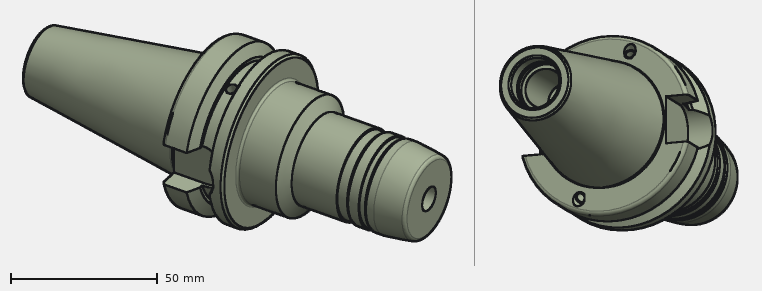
import cadquery as cq
import math

LENGTH = 155.4
TAPER_END = 65.1
RELIEF_START = 65.9
FLANGE_START = 67.0
FLANGE_END = 92.2
V_GROOVE_START = 77.0
V_FLOOR_START = 79.3
V_FLOOR_END = 84.2
V_GROOVE_END = 86.5
SHOULDER_START = 107.7
NOSE_START = 110.8
WIDE_BAND = (128.8, 133.5)
NARROW_BAND = (137.7, 140.6)
BAND_REAR_SLOPE = 0.8
NOSE_TAPER_START = 143.7

SMALL_END_DIAMETER = 26.1
GAUGE_DIAMETER = 44.5
RELIEF_DIAMETER = 44.0
FLANGE_DIAMETER = 63.0
V_WALL_DIAMETER = 53.5
V_FLOOR_DIAMETER = 50.8
BODY_DIAMETER = 44.5
NOSE_DIAMETER = 34.0
BAND_DIAMETER = 33.0
NOSE_END_DIAMETER = 30.8
NOSE_BULGE = 0.2

SMALL_END_CHAMFER = 0.8
FLANGE_FRONT_FILLET = 1.4
FLANGE_REAR_CHAMFER = 1.0
BODY_FILLET = 1.0
NOSE_END_FILLET = 1.4

ENTRY_DIAMETER = 19.1
ENTRY_DEPTH = 0.5
PILOT_DIAMETER = 17.5
PILOT_DEPTH = 6.0
RELIEF_BORE_DIAMETER = 17.0
RELIEF_BORE_START = 7.0
RELIEF_BORE_DEPTH = 9.3
CORE_DIAMETER = 13.8
CORE_DEPTH = 31.1
CORE_CONE_ANGLE = 59
PASSAGE_DIAMETER = 8.9

SLOT_WIDTH = 16.5
SLOT_FLOOR_OFFSET = 22.5
SLOT_END = 88.3

PORT_ANGLE = 20.3
PORT_DIAMETER = 4.0
INNER_PORT_DIAMETER = 3.3
FACE_PORT_RADIUS = 26.9
FACE_PORT_TILT = 35.0
FACE_PORT_DEPTH = 1.5
INNER_PORT_DEPTH = 9.3
RADIAL_PORT_POSITION = (V_FLOOR_START + V_FLOOR_END) / 2
RADIAL_PORT_DEPTH = 4.7


def make_outer_body():
    """Revolve the outside profile about the X axis."""
    flange_r = FLANGE_DIAMETER / 2
    wall_r = V_WALL_DIAMETER / 2
    floor_r = V_FLOOR_DIAMETER / 2
    body_r = BODY_DIAMETER / 2
    small_r = SMALL_END_DIAMETER / 2
    nose_r = NOSE_DIAMETER / 2
    profile = (
        cq.Workplane("XY")
        .moveTo(0, 0)
        .lineTo(0, small_r - SMALL_END_CHAMFER)
        .lineTo(SMALL_END_CHAMFER, small_r)
        .lineTo(TAPER_END, GAUGE_DIAMETER / 2)
        .lineTo(RELIEF_START, GAUGE_DIAMETER / 2)
        .lineTo(RELIEF_START, RELIEF_DIAMETER / 2)
        .lineTo(FLANGE_START, RELIEF_DIAMETER / 2)
        .lineTo(FLANGE_START, flange_r - FLANGE_FRONT_FILLET)
        .radiusArc((FLANGE_START + FLANGE_FRONT_FILLET, flange_r), FLANGE_FRONT_FILLET)
        .lineTo(V_GROOVE_START, flange_r)
        .lineTo(V_FLOOR_START, wall_r)
        .lineTo(V_FLOOR_START, floor_r)
        .lineTo(V_FLOOR_END, floor_r)
        .lineTo(V_FLOOR_END, wall_r)
        .lineTo(V_GROOVE_END, flange_r)
        .lineTo(FLANGE_END - FLANGE_REAR_CHAMFER, flange_r)
        .lineTo(FLANGE_END, flange_r - FLANGE_REAR_CHAMFER)
        .lineTo(FLANGE_END, body_r + BODY_FILLET)
        .radiusArc((FLANGE_END + BODY_FILLET, body_r), -BODY_FILLET)
        .lineTo(SHOULDER_START, body_r)
        .lineTo(NOSE_START, nose_r)
        .lineTo(NOSE_TAPER_START, nose_r)
        .sagittaArc((LENGTH, NOSE_END_DIAMETER / 2), NOSE_BULGE)
        .lineTo(LENGTH, 0)
        .close()
    )
    body = profile.revolve(360, (0, 0, 0), (1, 0, 0))
    return body.faces(">X").edges().fillet(NOSE_END_FILLET)


def make_band_groove(start, end):
    """Shallow ring groove around the nose with a square front and a sloped rear wall."""
    band_r = BAND_DIAMETER / 2
    nose_r = NOSE_DIAMETER / 2
    return (
        cq.Workplane("XY")
        .moveTo(start, band_r)
        .lineTo(end - BAND_REAR_SLOPE, band_r)
        .lineTo(end, nose_r)
        .lineTo(start, nose_r)
        .close()
        .revolve(360, (0, 0, 0), (1, 0, 0))
    )


def make_bore():
    """Stepped bore along the whole length."""
    pilot_r = PILOT_DIAMETER / 2
    relief_r = RELIEF_BORE_DIAMETER / 2
    core_r = CORE_DIAMETER / 2
    passage_r = PASSAGE_DIAMETER / 2
    cone_length = (core_r - passage_r) / math.tan(math.radians(CORE_CONE_ANGLE))
    return (
        cq.Workplane("XY")
        .moveTo(0, 0)
        .lineTo(0, ENTRY_DIAMETER / 2)
        .lineTo(ENTRY_DEPTH, pilot_r)
        .lineTo(PILOT_DEPTH, pilot_r)
        .lineTo(RELIEF_BORE_START, relief_r)
        .lineTo(RELIEF_BORE_DEPTH, relief_r)
        .lineTo(RELIEF_BORE_DEPTH, core_r)
        .lineTo(CORE_DEPTH, core_r)
        .lineTo(CORE_DEPTH + cone_length, passage_r)
        .lineTo(LENGTH, passage_r)
        .lineTo(LENGTH, 0)
        .close()
        .revolve(360, (0, 0, 0), (1, 0, 0))
    )


def make_drive_slot():
    """Round-ended slot on the +Y side, open through the flange front face."""
    half_width = SLOT_WIDTH / 2
    arc_start = SLOT_END - half_width
    return (
        cq.Workplane("XZ", origin=(0, FLANGE_DIAMETER / 2, 0))
        .moveTo(FLANGE_START, -half_width)
        .lineTo(arc_start, -half_width)
        .threePointArc((SLOT_END, 0), (arc_start, half_width))
        .lineTo(FLANGE_START, half_width)
        .close()
        .extrude(FLANGE_DIAMETER / 2 - SLOT_FLOOR_OFFSET)
    )


def make_coolant_ports():
    """Tilted stepped port in the flange front face and radial port in the V groove floor."""
    port_r = PORT_DIAMETER / 2
    tilt = math.radians(FACE_PORT_TILT)
    inward = cq.Vector(math.cos(tilt), 0, -math.sin(tilt))
    mouth = cq.Vector(FLANGE_START, 0, FACE_PORT_RADIUS)
    lead = port_r * math.tan(tilt)
    face_port = cq.Solid.makeCylinder(port_r, FACE_PORT_DEPTH + lead, mouth - inward * lead, inward)
    inner_port = cq.Solid.makeCylinder(INNER_PORT_DIAMETER / 2, INNER_PORT_DEPTH, mouth, inward)
    radial_port = cq.Solid.makeCylinder(
        port_r,
        RADIAL_PORT_DEPTH,
        cq.Vector(RADIAL_PORT_POSITION, 0, V_FLOOR_DIAMETER / 2),
        cq.Vector(0, 0, -1),
    )
    ports = cq.Workplane("XY").add(face_port).add(inner_port).add(radial_port)
    return ports.rotate((0, 0, 0), (1, 0, 0), PORT_ANGLE)


result = make_outer_body()
for band in (WIDE_BAND, NARROW_BAND):
    result = result.cut(make_band_groove(*band))
result = result.cut(make_bore())
for turn in (0, 180):
    for cutter in (make_drive_slot(), make_coolant_ports()):
        for solid in cutter.vals():
            result = result.cut(cq.Workplane(solid).rotate((0, 0, 0), (1, 0, 0), turn))